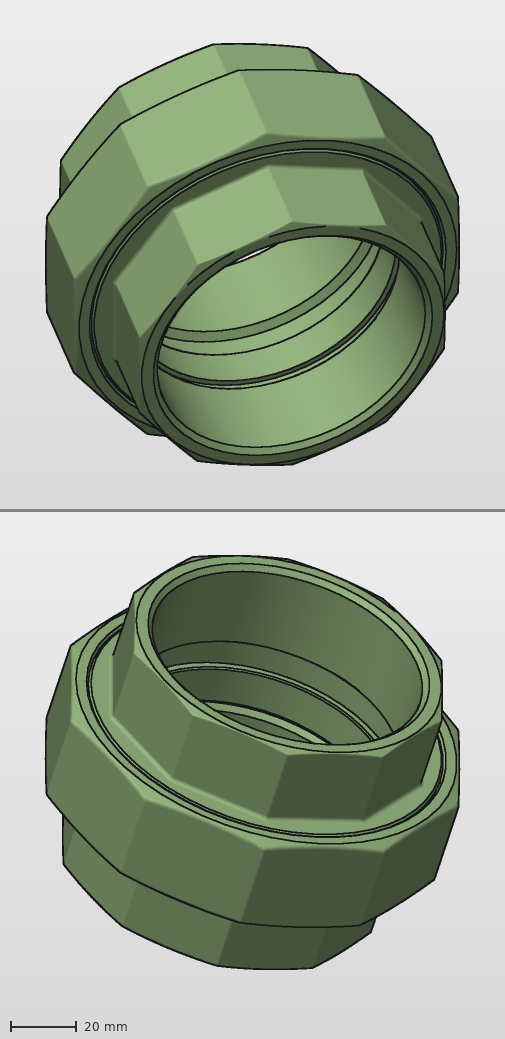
import cadquery as cq
import math

TOTAL_LENGTH = 84.0
HALF_LENGTH = TOTAL_LENGTH / 2
SIDES = 10
SIDE_ANGLE = 360 / SIDES
CORNER_CHAMFER_ANGLE = 20.0

NUT_LENGTH = 32.0
NUT_FLATS = 122.0
NUT_FACE_DIAMETER = 119.7
NUT_ROUND = 1.3
HALF_NUT = NUT_LENGTH / 2

COLLAR_FLATS = 96.8
COLLAR_FACE_DIAMETER = 95.9
CORNER_ROUND = 1.3
COLLAR_CHAMFER_ROUND = 0.5
COLLAR_ROOT_RADIUS = 1.3

FLANGE_DIAMETER = 111.5
FLANGE_FACE_DIAMETER = 110.1
NUT_MOUTH_DIAMETER = 113.0
FLANGE_RECESS = 0.1
FLANGE_FACE = HALF_NUT - FLANGE_RECESS

JOINT_X = -3.0

THREAD_BORE_DIAMETER = 85.0
MOUTH_DIAMETER = 88.5
THREAD_END = 13.2
LEFT_RELIEF_DIAMETER = 90.2
RIGHT_RELIEF_DIAMETER = 88.5
RUNOUT_LENGTH = 1.8
RIGHT_RELIEF_START = 9.6
SEAT_CHAMFER = 0.5


def corner_diameter(flats):
    """Diameter across the sharp corners of a decagon with these flats."""
    return flats / math.cos(math.pi / SIDES)


def revolved(points):
    """Body turned about the X axis from (x, radius) points."""
    return cq.Workplane("XY").polyline(points).close().revolve(360, (0, 0, 0), (1, 0, 0))


def decagon_bar(flats, start, end):
    """Ten-sided bar along X with a corner pointing to +Z."""
    return (
        cq.Workplane("YZ", origin=(start, 0, 0))
        .transformed(rotate=(0, 0, SIDE_ANGLE / 2))
        .polygon(SIDES, corner_diameter(flats))
        .extrude(end - start)
    )


def corner_envelope(flats, face_diameter, start, end):
    """Turned body from `start` to `end` whose cone cuts back the corners of a decagon at `end`."""
    face_radius = face_diameter / 2
    corner_radius = corner_diameter(flats) / 2
    depth = (corner_radius - face_radius) * math.tan(math.radians(CORNER_CHAMFER_ANGLE))
    return revolved([
        (start, 0),
        (end, 0),
        (end, face_radius),
        (end - depth, corner_radius),
        (start, corner_radius),
    ])


def make_nut():
    """Union nut: rounded decagon with a through bore chamfered at both mouths."""
    half_envelope = corner_envelope(NUT_FLATS, NUT_FACE_DIAMETER, 0, HALF_NUT)
    envelope = half_envelope.union(half_envelope.mirror("YZ"))
    body = decagon_bar(NUT_FLATS, -HALF_NUT, HALF_NUT).intersect(envelope)
    body = body.edges("not %CIRCLE").fillet(NUT_ROUND)
    mouth_radius = NUT_MOUTH_DIAMETER / 2
    bore_radius = FLANGE_DIAMETER / 2
    mouth_depth = mouth_radius - bore_radius
    hole = revolved([
        (-HALF_NUT, 0),
        (HALF_NUT, 0),
        (HALF_NUT, mouth_radius),
        (HALF_NUT - mouth_depth, bore_radius),
        (mouth_depth - HALF_NUT, bore_radius),
        (-HALF_NUT, mouth_radius),
    ])
    return body.cut(hole)


def make_collar(start):
    """Rounded decagon from `start` to the +X end."""
    bar = decagon_bar(COLLAR_FLATS, start, HALF_LENGTH).edges("|X").fillet(CORNER_ROUND)
    bar = bar.intersect(corner_envelope(COLLAR_FLATS, COLLAR_FACE_DIAMETER, start, HALF_LENGTH))
    return bar.edges("not (<X or >X or |X)").fillet(COLLAR_CHAMFER_ROUND)


def make_blank(inner_end):
    """Solid end piece on the +X side: collar, root fillet and a flange reaching in to `inner_end`."""
    flange_radius = FLANGE_DIAMETER / 2
    face_radius = FLANGE_FACE_DIAMETER / 2
    flange = revolved([
        (inner_end, 0),
        (FLANGE_FACE, 0),
        (FLANGE_FACE, face_radius),
        (FLANGE_FACE - (flange_radius - face_radius), flange_radius),
        (inner_end, flange_radius),
    ])
    body = flange.union(make_collar(inner_end))
    flange_front = body.faces("|X").faces(">X[-2]").val()
    root_edges = flange_front.innerWires()[0].Edges()
    return body.newObject(root_edges).fillet(COLLAR_ROOT_RADIUS)


def thread_bore(relief_diameter, relief_start):
    """Bore on the +X side, from the relief out to the chamfered mouth."""
    bore_radius = THREAD_BORE_DIAMETER / 2
    mouth_radius = MOUTH_DIAMETER / 2
    relief_radius = relief_diameter / 2
    return revolved([
        (relief_start, 0),
        (HALF_LENGTH, 0),
        (HALF_LENGTH, mouth_radius),
        (HALF_LENGTH - (mouth_radius - bore_radius), bore_radius),
        (THREAD_END, bore_radius),
        (THREAD_END - RUNOUT_LENGTH, relief_radius),
        (relief_start, relief_radius),
    ])


def make_left_end():
    """End piece on the -X side, whose relief stays open up to the joint."""
    blank = make_blank(-JOINT_X)
    return blank.cut(thread_bore(LEFT_RELIEF_DIAMETER, -JOINT_X)).mirror("YZ")


def make_right_end():
    """End piece on the +X side, with a chamfered seat at the joint."""
    bore_radius = THREAD_BORE_DIAMETER / 2
    seat = revolved([
        (JOINT_X, 0),
        (RIGHT_RELIEF_START, 0),
        (RIGHT_RELIEF_START, bore_radius),
        (JOINT_X + SEAT_CHAMFER, bore_radius),
        (JOINT_X, bore_radius + SEAT_CHAMFER),
    ])
    return make_blank(JOINT_X).cut(seat).cut(thread_bore(RIGHT_RELIEF_DIAMETER, RIGHT_RELIEF_START))


nut = make_nut()
left_end = make_left_end()
right_end = make_right_end()
result = cq.Compound.makeCompound([nut.val(), left_end.val(), right_end.val()])